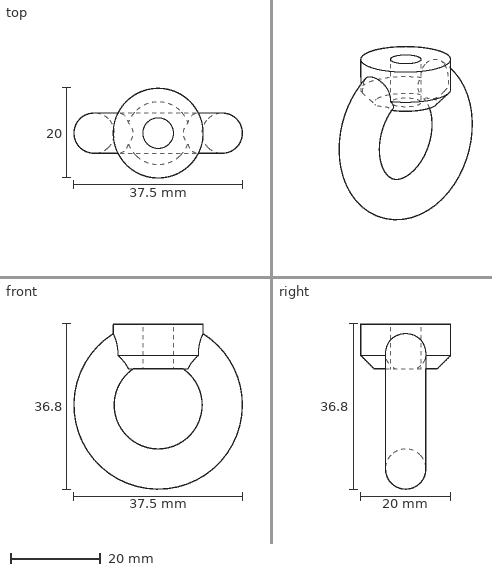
import cadquery as cq

ring_outer_diameter = 37.5
ring_bar_diameter = 9.0
ring_bar_radius = ring_bar_diameter / 2
ring_mean_radius = ring_outer_diameter / 2 - ring_bar_radius

boss_diameter = 20.0
boss_height = 10.0
boss_bevel = 3.0
boss_top_z = 18.0
boss_bottom_z = boss_top_z - boss_height

hole_diameter = 6.8


def make_ring():
    """Sweep the round bar about the Y axis and trim it flush with the boss top."""
    ring = (
        cq.Workplane("XY")
        .center(ring_mean_radius, 0)
        .circle(ring_bar_radius)
        .revolve(360, (-ring_mean_radius, 0), (-ring_mean_radius, 1))
    )
    region_below_boss_top = (
        cq.Workplane("XY")
        .workplane(offset=boss_top_z)
        .rect(2 * ring_outer_diameter, 2 * ring_outer_diameter)
        .extrude(-2 * ring_outer_diameter)
    )
    return ring.intersect(region_below_boss_top)


def make_boss():
    """Cylinder with a 45 degree bevel around its bottom edge."""
    return (
        cq.Workplane("XY")
        .workplane(offset=boss_bottom_z)
        .circle(boss_diameter / 2)
        .extrude(boss_height)
        .faces("<Z")
        .chamfer(boss_bevel)
    )


def make_hole():
    """Plain vertical hole that runs the full height of the boss."""
    return (
        cq.Workplane("XY")
        .workplane(offset=boss_bottom_z)
        .circle(hole_diameter / 2)
        .extrude(boss_height)
    )


result = make_ring().union(make_boss()).cut(make_hole())